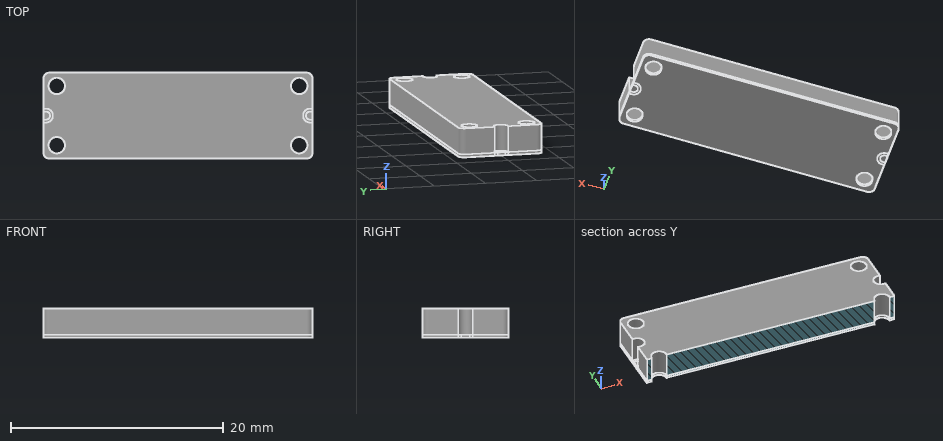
import cadquery as cq

LENGTH = 25.4
WIDTH = 8.13
HEIGHT = 2.8
PLATE_THICKNESS = 0.3
COVER_HEIGHT = HEIGHT - PLATE_THICKNESS
CORNER_RADIUS = 0.58

HOLE_DIAMETER = 1.52
HOLE_INSET = 1.27

NOTCH_RADIUS = 0.65
CORE_RADIUS = 0.38
NOTCH_CENTER_INSET = 0.25

END_SIDES = (-1, 1)


def notch_shape(side, radius, height):
    """U-shaped block open at one end face, standing on Z = 0."""
    end_x = side * LENGTH / 2
    center_x = side * (LENGTH / 2 - NOTCH_CENTER_INSET)
    tip_x = center_x - side * radius
    return (
        cq.Workplane("XY")
        .moveTo(end_x, -radius)
        .lineTo(center_x, -radius)
        .threePointArc((tip_x, 0), (center_x, radius))
        .lineTo(end_x, radius)
        .close()
        .extrude(height)
    )


def notched_block(height):
    """Rounded block on Z = 0 with the mounting holes and both end notches."""
    block = (
        cq.Workplane("XY")
        .rect(LENGTH, WIDTH)
        .extrude(height)
        .edges("|Z")
        .fillet(CORNER_RADIUS)
        .faces(">Z")
        .workplane()
        .rect(LENGTH - 2 * HOLE_INSET, WIDTH - 2 * HOLE_INSET, forConstruction=True)
        .vertices()
        .hole(HOLE_DIAMETER)
    )
    for side in END_SIDES:
        block = block.cut(notch_shape(side, NOTCH_RADIUS, height))
    return block


def make_base_plate():
    """Thin plate under the cover."""
    return notched_block(PLATE_THICKNESS)


def make_cover():
    """Solid cover resting on the base plate."""
    return notched_block(COVER_HEIGHT).translate((0, 0, PLATE_THICKNESS))


def make_notch_liner(side):
    """U-shaped strip filling the rim of a base plate notch."""
    outside = notch_shape(side, NOTCH_RADIUS, PLATE_THICKNESS)
    return outside.cut(notch_shape(side, CORE_RADIUS, PLATE_THICKNESS))


def make_notch_core(side):
    """Round-ended pad filling the inside of a notch liner."""
    return notch_shape(side, CORE_RADIUS, PLATE_THICKNESS)


base_plate = make_base_plate()
cover = make_cover()
notch_liners = [make_notch_liner(side).val() for side in END_SIDES]
notch_cores = [make_notch_core(side).val() for side in END_SIDES]

result = cq.Compound.makeCompound([base_plate.val(), cover.val(), *notch_liners, *notch_cores])